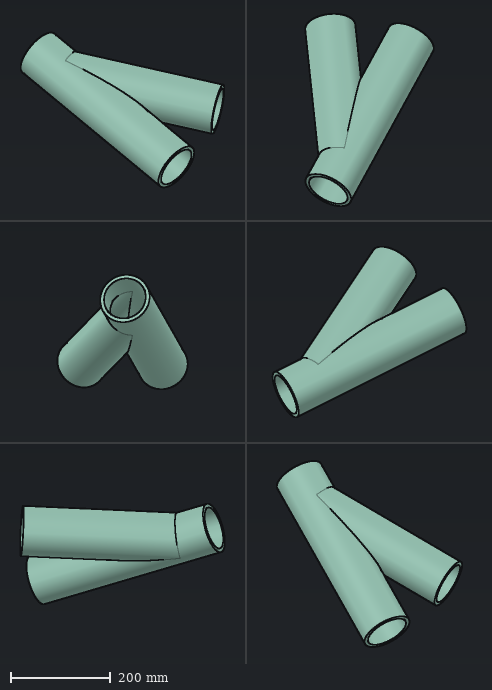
import cadquery as cq
import math

outer_diameter = 101.5
bore_diameter = 85.5
main_length = 393.7
branch_angle = 30
branch_length = 317.7
junction_x = 76.0

angle = math.radians(branch_angle)
branch_direction = cq.Vector(math.cos(angle), math.sin(angle), 0)
junction = cq.Vector(junction_x, 0, 0)


def main_cylinder(diameter):
    return cq.Workplane("YZ").circle(diameter / 2).extrude(main_length)


def branch_cylinder(diameter):
    plane = cq.Plane(origin=junction, xDir=(0, 0, 1), normal=branch_direction)
    return cq.Workplane(plane).circle(diameter / 2).extrude(branch_length)


body = main_cylinder(outer_diameter).union(branch_cylinder(outer_diameter))
bores = main_cylinder(bore_diameter).union(branch_cylinder(bore_diameter))
result = body.cut(bores)